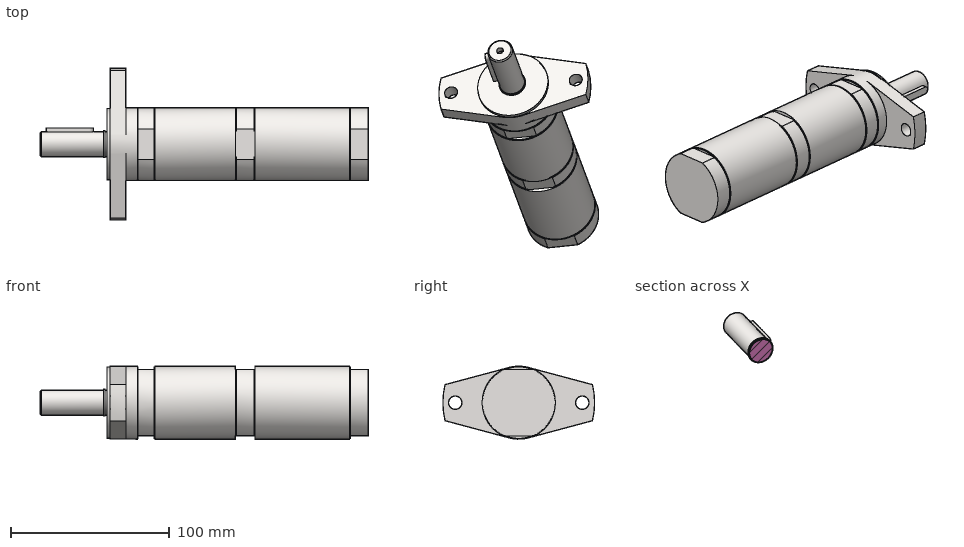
import cadquery as cq
import math


total_length = 206.5
collar_start = 39.9
collar_end = 40.9
body_start = 42.0
flange_start = 44.0
flange_thickness = 10.0
front_band = (61.1, 72.3)
middle_band = (122.9, 135.0)
rear_band = (194.7, total_length)

body_diameter = 46.0
pilot_diameter = 45.0
groove_diameter = 45.0
groove_width = 0.52
across_flats = 42.0

shaft_diameter = 16.0
shaft_chamfer = 0.8
collar_diameter = 17.0
center_hole_diameter = 4.1
center_hole_depth = 4.1
center_hole_tip_angle = 120

key_start = 3.7
key_length = 30.0
key_width = 5.0
key_top = 10.3

flange_span = 95.6
flange_taper = 15
flange_hole_diameter = 8.3
flange_hole_spacing = 80.0


def cylinder(start, end, diameter):
    """Cylinder on the axis between two stations."""
    return cq.Workplane("YZ", origin=(start, 0, 0)).circle(diameter / 2).extrude(end - start)


def make_shaft():
    """Chamfered shaft with its collar and a center hole with a conical bottom."""
    shaft = cylinder(0, body_start, shaft_diameter).faces("<X").chamfer(shaft_chamfer)
    collar = cylinder(collar_start, collar_end, collar_diameter)
    hole_radius = center_hole_diameter / 2
    tip_depth = hole_radius / math.tan(math.radians(center_hole_tip_angle / 2))
    center_hole = (
        cq.Workplane("XY")
        .polyline([
            (0, 0),
            (0, hole_radius),
            (center_hole_depth, hole_radius),
            (center_hole_depth + tip_depth, 0),
        ])
        .close()
        .revolve(360, (0, 0, 0), (1, 0, 0))
    )
    return shaft.union(collar).cut(center_hole)


def make_key():
    """Round-ended key standing out of the +Y side of the shaft."""
    return (
        cq.Workplane("XZ")
        .center(key_start + key_length / 2, 0)
        .slot2D(key_length, key_width)
        .extrude(-key_top)
    )


def make_flange():
    """Two-hole flange: straight sides tangent to the body, ends on a common circle.

    Between the tangent points the sides run inside the body.
    """
    taper = math.radians(flange_taper)
    body_radius = body_diameter / 2
    end_radius = flange_span / 2
    tangent_y = body_radius * math.sin(taper)
    tangent_z = body_radius * math.cos(taper)
    corner_angle = math.acos(body_radius / end_radius)
    corner_y = end_radius * math.sin(taper + corner_angle)
    corner_z = end_radius * math.cos(taper + corner_angle)
    return (
        cq.Workplane("YZ", origin=(flange_start, 0, 0))
        .moveTo(-tangent_y, tangent_z)
        .lineTo(tangent_y, tangent_z)
        .lineTo(corner_y, corner_z)
        .threePointArc((end_radius, 0), (corner_y, -corner_z))
        .lineTo(tangent_y, -tangent_z)
        .lineTo(-tangent_y, -tangent_z)
        .lineTo(-corner_y, -corner_z)
        .threePointArc((-end_radius, 0), (-corner_y, corner_z))
        .close()
        .pushPoints([(-flange_hole_spacing / 2, 0), (flange_hole_spacing / 2, 0)])
        .circle(flange_hole_diameter / 2)
        .extrude(flange_thickness)
    )


def cut_groove(body, start):
    """Cut a narrow relief groove around the body."""
    end = start + groove_width
    ring = cylinder(start, end, body_diameter).cut(cylinder(start, end, groove_diameter))
    return body.cut(ring)


def cut_flats(body, start, end):
    """Cut a pair of flats on the top and bottom of the body."""
    band = cylinder(start, end, body_diameter)
    core = cq.Workplane("XY").box(2 * total_length, body_diameter, across_flats)
    return body.cut(band.cut(core))


def make_body():
    """Housing with three bands of flats, each set off by relief grooves."""
    body = cylinder(flange_start, total_length, body_diameter)
    body = cut_flats(body, front_band[0] + groove_width, front_band[1] - groove_width)
    body = cut_flats(body, *middle_band)
    body = cut_flats(body, rear_band[0] + groove_width, rear_band[1])
    groove_starts = (
        front_band[0],
        front_band[1] - groove_width,
        middle_band[0],
        middle_band[1] - groove_width,
        rear_band[0],
    )
    for start in groove_starts:
        body = cut_groove(body, start)
    return body.union(cylinder(body_start, flange_start, pilot_diameter))


result = make_body().union(make_flange()).union(make_shaft()).union(make_key())